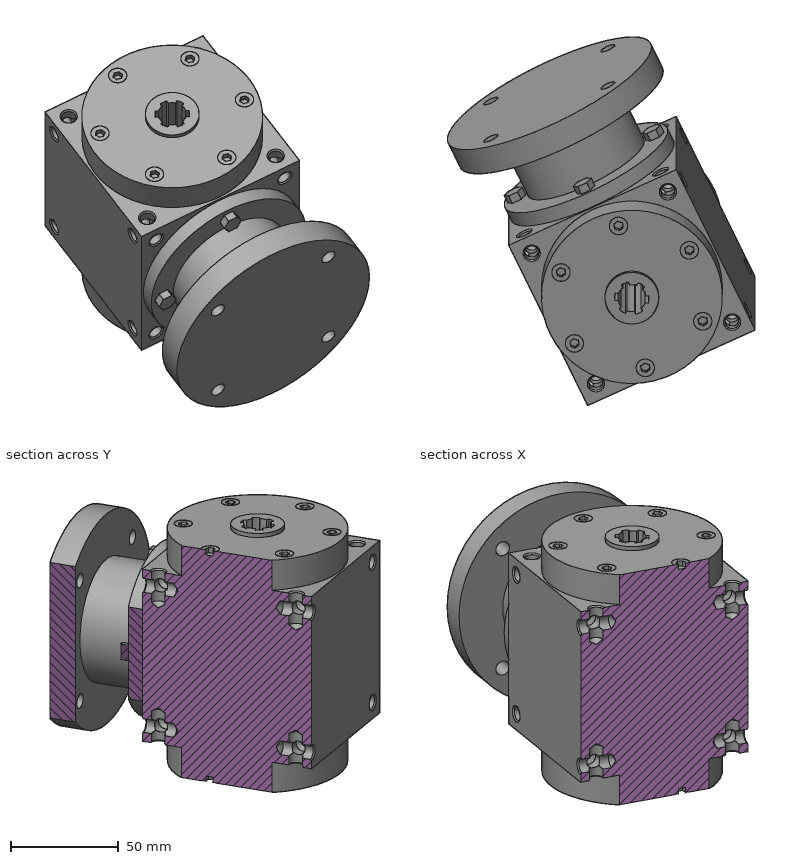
import cadquery as cq
import math

full_turn = 360.0
hexagon_sides = 6

cube_side = 86.0
cube_half = cube_side / 2

corner_hole_offset = 35.0
corner_hole_diameter = 6.6
corner_hole_mouth_diameter = 8.0
corner_hole_depth = 16.0
drill_point_angle = 118.0

overall_height = 120.0
hub_height = 2.0
hub_diameter = 25.0
cover_diameter = 84.0
cover_height = (overall_height - cube_side) / 2 - hub_height

screw_count = 6
screw_circle_radius = 35.0
screw_first_angle = 15.0
screw_head_diameter = 8.5
screw_head_recess = 0.1
socket_across_flats = 4.0
socket_depth = 2.7

spline_minor_diameter = 13.0
spline_major_diameter = 16.0
spline_slot_count = 6
spline_slot_width = 3.5

overall_length = 133.0
plate_diameter = cover_diameter
plate_thickness = 7.0
tube_diameter = 60.0
disk_diameter = 105.0
disk_thickness = 13.0
flange_length = overall_length - cube_side
disk_hole_count = 4
disk_hole_diameter = 7.0
disk_hole_circle_diameter = 85.0
disk_hole_first_angle = 45.0

bolt_count = 4
bolt_circle_radius = 35.5
bolt_across_flats = 8.0
bolt_head_height = 4.0


def across_corners(across_flats):
    """Diameter of the circle around a hexagon of the given width across its flats."""
    return across_flats / math.cos(math.pi / hexagon_sides)


def outward_planes():
    """One plane on each face of the cube, with its normal pointing outward."""
    directions = [(1, 0, 0), (-1, 0, 0), (0, 1, 0), (0, -1, 0), (0, 0, 1), (0, 0, -1)]
    planes = []
    for direction in directions:
        normal = cq.Vector(*direction)
        side = cq.Vector(0, 1, 0) if direction[0] else cq.Vector(1, 0, 0)
        planes.append(cq.Plane(origin=normal * cube_half, xDir=side, normal=normal))
    return planes


def corner_hole_cutter():
    """Chamfered blind hole with a drill point, going down from the origin along Z."""
    radius = corner_hole_diameter / 2
    mouth_radius = corner_hole_mouth_diameter / 2
    chamfer = mouth_radius - radius
    point_height = radius / math.tan(math.radians(drill_point_angle / 2))
    half_profile = [
        (0, 0),
        (mouth_radius, 0),
        (radius, -chamfer),
        (radius, -corner_hole_depth),
        (0, -corner_hole_depth - point_height),
    ]
    profile = cq.Workplane("XZ").polyline(half_profile).close()
    return profile.revolve(full_turn, (0, 0, 0), (0, 1, 0)).val()


def cut_corner_holes(body):
    """Cut four corner holes into every face of the cube."""
    cutter = corner_hole_cutter()
    offsets = (-corner_hole_offset, corner_hole_offset)
    for plane in outward_planes():
        for across in offsets:
            for along in offsets:
                place = cq.Location(plane) * cq.Location(cq.Vector(across, along, 0))
                body = body.cut(cq.Workplane(cutter.moved(place)))
    return body


def make_cover(screw_angle):
    """Cover with its hub and screw heads, standing on top of the cube."""
    cover = cq.Workplane("XY", origin=(0, 0, cube_half)).circle(cover_diameter / 2).extrude(cover_height)
    cover_top = cube_half + cover_height
    face = cq.Workplane("XY", origin=(0, 0, cover_top))
    screws = face.polarArray(screw_circle_radius, screw_angle, full_turn, screw_count)
    cover = cover.cut(screws.circle(screw_head_diameter / 2).extrude(-screw_head_recess))
    sockets = screws.polygon(hexagon_sides, across_corners(socket_across_flats))
    cover = cover.cut(sockets.extrude(-socket_depth))
    return cover.union(face.circle(hub_diameter / 2).extrude(hub_height))


def make_spline():
    """Splined bore as a solid: a round core and slots, each bar making two opposite slots."""
    base = cq.Workplane("XY", origin=(0, 0, -overall_height / 2))
    spline = base.circle(spline_minor_diameter / 2).extrude(overall_height)
    envelope = base.circle(spline_major_diameter / 2).extrude(overall_height)
    for slot in range(spline_slot_count // 2):
        bar = base.rect(2 * spline_major_diameter, spline_slot_width).extrude(overall_height)
        spline = spline.union(bar.rotate((0, 0, 0), (0, 0, 1), slot * full_turn / spline_slot_count))
    return envelope.intersect(spline)


def make_housing():
    """Cube with corner holes, a cover above and below, and the splined bore."""
    body = cut_corner_holes(cq.Workplane("XY").box(cube_side, cube_side, cube_side))
    cover = make_cover(screw_first_angle)
    body = body.union(cover).union(cover.mirror("XY"))
    return body.cut(make_spline())


def make_flange():
    """Mounting plate, tube and drilled disk along the X axis."""
    base = cq.Workplane("YZ", origin=(cube_half, 0, 0))
    disk_start = flange_length - disk_thickness
    flange = base.circle(plate_diameter / 2).extrude(plate_thickness)
    flange = flange.union(base.circle(tube_diameter / 2).extrude(disk_start))
    disk = (
        base.workplane(offset=disk_start)
        .circle(disk_diameter / 2)
        .extrude(disk_thickness)
        .faces(">X")
        .workplane()
        .polarArray(disk_hole_circle_diameter / 2, disk_hole_first_angle, full_turn, disk_hole_count)
        .hole(disk_hole_diameter)
    )
    return flange.union(disk)


def make_bolt(angle):
    """Hexagon bolt head on the flange plate, with two of its flats level."""
    across = bolt_circle_radius * math.cos(math.radians(angle))
    up = bolt_circle_radius * math.sin(math.radians(angle))
    seat = cq.Workplane("YZ", origin=(cube_half + plate_thickness, across, up))
    return seat.polygon(hexagon_sides, across_corners(bolt_across_flats)).extrude(bolt_head_height)


housing = make_housing()
flange = make_flange()
bolts = [make_bolt(index * full_turn / bolt_count).val() for index in range(bolt_count)]

result = cq.Compound.makeCompound([housing.val(), flange.val(), *bolts])